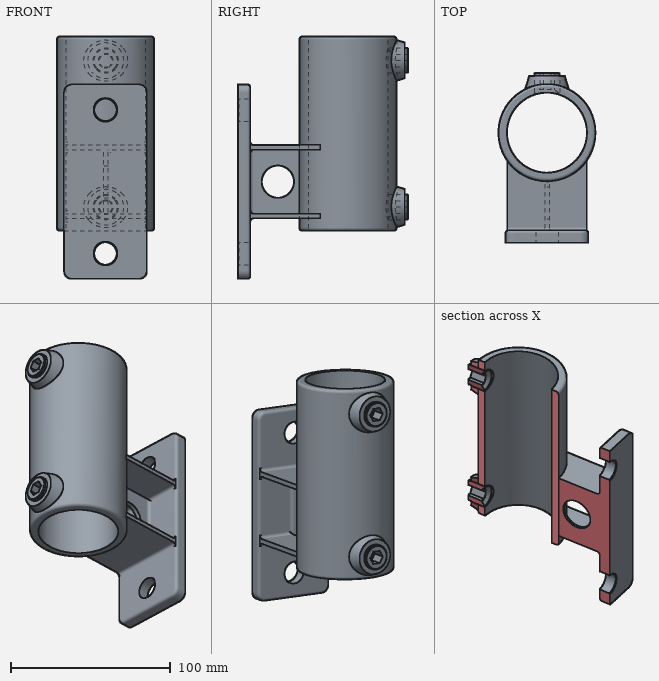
import cadquery as cq
import math

OVERALL_HEIGHT = 152.0
TUBE_LENGTH = 121.9
TUBE_RADIUS = 30.48
BORE_RADIUS = 25.0
TUBE_EDGE_FILLET = 2.0
TUBE_BOTTOM = OVERALL_HEIGHT - TUBE_LENGTH

PLATE_WIDTH = 52.0
PLATE_HEIGHT = TUBE_LENGTH
PLATE_THICKNESS = 7.9
PLATE_FRONT = -69.0
PLATE_BACK = PLATE_FRONT + PLATE_THICKNESS
PLATE_MIDDLE = PLATE_HEIGHT / 2
PLATE_CORNER_RADIUS = 5.0
PLATE_EDGE_FILLET = 2.0
PLATE_HOLE_RADIUS = 7.0
PLATE_HOLE_CHAMFER = 0.5
PLATE_HOLE_SPACING = 90.0

WALL_THICKNESS = 3.0
RIB_WIDTH = 2 * BORE_RADIUS
RIB_GAP = 40.0
RIB_OFFSET = (RIB_GAP + WALL_THICKNESS) / 2
ROOT_FILLET = 2.0
WEB_HOLE_RADIUS = 10.0
WEB_HOLE_Y = -44.0
RIB_END_Y = -math.sqrt(TUBE_RADIUS**2 - (RIB_WIDTH / 2) ** 2)

BOSS_END_INSET = 15.0
BOSS_HEIGHTS = (TUBE_BOTTOM + BOSS_END_INSET, OVERALL_HEIGHT - BOSS_END_INSET)
BOSS_FACE_Y = 35.5
BOSS_TIP_RADIUS = 11.2
BOSS_BASE_RADIUS = 13.8
BOSS_BASE_Y = math.sqrt(TUBE_RADIUS**2 - BOSS_BASE_RADIUS**2)

SCREW_RADIUS = 7.9
SCREW_TIP_Y = BORE_RADIUS
SCREW_END_Y = 37.7
SCREW_CHAMFER = 0.6
SCREW_CUP_RADIUS = 7.3
SCREW_CUP_DEPTH = 2.3
HEX_ACROSS_CORNERS = 9.1


def cylinder_along_y(radius, start_y, end_y, height):
    """Cylinder along +Y from start_y to end_y, centred on X = 0 at the given height."""
    return cq.Workplane("XZ", origin=(0, start_y, height)).circle(radius).extrude(start_y - end_y)


def cone_along_y(start_radius, end_radius, start_y, end_y, height):
    """Cone along +Y from start_y to end_y, centred on X = 0 at the given height."""
    start = cq.Vector(0, start_y, height)
    direction = cq.Vector(0, 1, 0)
    return cq.Workplane(cq.Solid.makeCone(start_radius, end_radius, end_y - start_y, start, direction))


def tube_cylinder(radius):
    """Solid cylinder over the full length of the tube."""
    return cq.Workplane("XY", origin=(0, 0, TUBE_BOTTOM)).circle(radius).extrude(TUBE_LENGTH)


def make_tube():
    """Tube with rounded outer ends and two cross holes for the set screws."""
    tube = tube_cylinder(TUBE_RADIUS).edges("%CIRCLE").fillet(TUBE_EDGE_FILLET)
    tube = tube.cut(tube_cylinder(BORE_RADIUS))
    for height in BOSS_HEIGHTS:
        tube = tube.cut(cylinder_along_y(SCREW_RADIUS, 0, TUBE_RADIUS, height))
    return tube


def make_boss(height):
    """Conical boss with a base shaped to the tube and a hole for its screw."""
    cone = cone_along_y(BOSS_BASE_RADIUS, BOSS_TIP_RADIUS, BOSS_BASE_Y, BOSS_FACE_Y, height)
    hole = cylinder_along_y(SCREW_RADIUS, 0, BOSS_FACE_Y, height)
    return cone.cut(tube_cylinder(TUBE_RADIUS)).cut(hole)


def make_screw(height):
    """Set screw with a hexagon socket right through it and a conical cup in its tip."""
    screw = cylinder_along_y(SCREW_RADIUS, SCREW_TIP_Y, SCREW_END_Y, height)
    screw = screw.faces(">Y").edges().chamfer(SCREW_CHAMFER)
    socket = (
        cq.Workplane("XZ", origin=(0, SCREW_TIP_Y, height))
        .polygon(6, HEX_ACROSS_CORNERS)
        .extrude(SCREW_TIP_Y - SCREW_END_Y)
    )
    cup_bottom_y = SCREW_TIP_Y + SCREW_CUP_DEPTH
    cup = cone_along_y(SCREW_CUP_RADIUS, HEX_ACROSS_CORNERS / 2, SCREW_TIP_Y, cup_bottom_y, height)
    return screw.cut(socket).cut(cup)


def make_plate():
    """Plate with rounded corners, a rounded back edge and two chamfered holes."""
    plate = (
        cq.Workplane("XZ", origin=(0, PLATE_BACK, PLATE_MIDDLE))
        .rect(PLATE_WIDTH, PLATE_HEIGHT)
        .extrude(PLATE_THICKNESS)
        .edges("|Y")
        .fillet(PLATE_CORNER_RADIUS)
        .faces(">Y")
        .edges()
        .fillet(PLATE_EDGE_FILLET)
    )
    mouth_radius = PLATE_HOLE_RADIUS + PLATE_HOLE_CHAMFER
    mouth_end_y = PLATE_FRONT + PLATE_HOLE_CHAMFER
    for side in (-1, 1):
        height = PLATE_MIDDLE + side * PLATE_HOLE_SPACING / 2
        plate = plate.cut(cylinder_along_y(PLATE_HOLE_RADIUS, PLATE_FRONT, PLATE_BACK, height))
        plate = plate.cut(cone_along_y(mouth_radius, PLATE_HOLE_RADIUS, PLATE_FRONT, mouth_end_y, height))
    return plate


def flared_wall(plane, width):
    """Wall along Y with fillets at its plate end, extruded to the given width about the plane.

    The local x of the plane is the global Y. The wall is rooted a little inside the plate.
    """
    half = WALL_THICKNESS / 2
    foot = half + ROOT_FILLET
    root_y = PLATE_BACK - PLATE_EDGE_FILLET
    fillet_y = PLATE_BACK + ROOT_FILLET
    arc_offset = ROOT_FILLET * (1 - math.sqrt(0.5))
    arc_y = PLATE_BACK + arc_offset
    return (
        cq.Workplane(plane)
        .moveTo(RIB_END_Y, -half)
        .lineTo(fillet_y, -half)
        .threePointArc((arc_y, -half - arc_offset), (PLATE_BACK, -foot))
        .lineTo(root_y, -foot)
        .lineTo(root_y, foot)
        .lineTo(PLATE_BACK, foot)
        .threePointArc((arc_y, half + arc_offset), (fillet_y, half))
        .lineTo(RIB_END_Y, half)
        .close()
        .extrude(width / 2, both=True)
    )


def make_rib(height):
    """Horizontal rib at the given height."""
    plane = cq.Plane(origin=(0, 0, height), xDir=(0, 1, 0), normal=(1, 0, 0))
    return flared_wall(plane, RIB_WIDTH)


def make_web():
    """Upright web between the ribs, with a round hole through it."""
    plane = cq.Plane(origin=(0, 0, PLATE_MIDDLE), xDir=(0, 1, 0), normal=(0, 0, 1))
    hole = (
        cq.Workplane("YZ", origin=(0, WEB_HOLE_Y, PLATE_MIDDLE))
        .circle(WEB_HOLE_RADIUS)
        .extrude(WALL_THICKNESS, both=True)
    )
    return flared_wall(plane, RIB_GAP).cut(hole)


def make_bracket():
    """Plate, web and two ribs as one body, cut to sit against the tube."""
    walls = make_web()
    for side in (-1, 1):
        walls = walls.union(make_rib(PLATE_MIDDLE + side * RIB_OFFSET))
    return make_plate().union(walls.cut(tube_cylinder(TUBE_RADIUS)))


tube = make_tube()
bracket = make_bracket()
bosses = [make_boss(height) for height in BOSS_HEIGHTS]
screws = [make_screw(height) for height in BOSS_HEIGHTS]

bodies = [tube, bracket, *bosses, *screws]
result = cq.Compound.makeCompound([body.solids().val() for body in bodies])